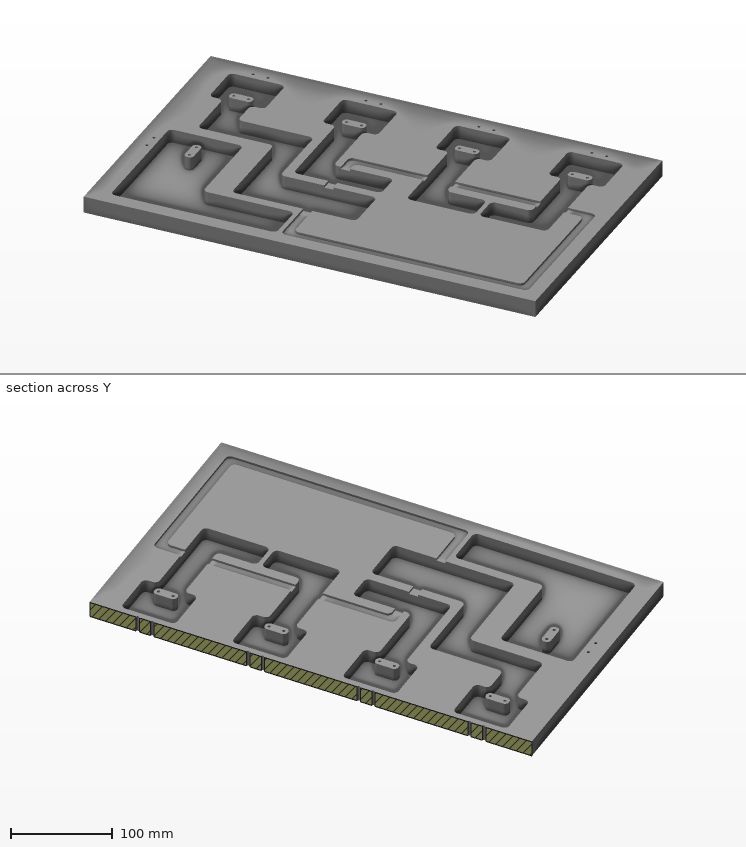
import cadquery as cq

LENGTH = 488.0
WIDTH = 300.0
THICKNESS = 18.0

POCKET_DEPTH = 14.5
CORNER_RADIUS = 5.5
EDGE_MARGIN = 22.0
PAD_WIDTH = 60.0
PAD_HEIGHT = 50.0
CHANNEL_WIDTH = 30.0
WALL = 10.0
NARROW_WALL = 5.0
PAD_COUNT = 4
pad_pitch = LENGTH / PAD_COUNT
pocket_floor = THICKNESS - POCKET_DEPTH
pad_x = [pad_pitch * (i + 0.5) for i in range(PAD_COUNT)]
pad_top = WIDTH - EDGE_MARGIN
pad_bottom = pad_top - PAD_HEIGHT

ARM_TOP = 157.5
LEFT_ARM_END = 263.0
arm_bottom = ARM_TOP - CHANNEL_WIDTH

JOG_TOP = 198.0
BOX_HEIGHT = 50.0
jog_bottom = JOG_TOP - CHANNEL_WIDTH
box_top = arm_bottom - WALL
box_bottom = box_top - BOX_HEIGHT

CORNER_POCKET_TOP = 154.5
CORNER_POCKET_STEP = 80.0
corner_step_top = box_bottom - WALL

GROOVE_DEPTH = 2.5
GROOVE_WIDTH = 10.0
GROOVE_LEFT = 206.0
GROOVE_TOP = 178.0
GROOVE_MARGIN = 15.0
groove_right = LENGTH - GROOVE_MARGIN
corner_pocket_right = GROOVE_LEFT - NARROW_WALL

HOLE_DIAMETER = 3.15
HOLE_PITCH = 16.0
HOLE_EDGE_DISTANCE = 15.0
BLOCK_EDGE_DISTANCE = 61.0
BLOCK_LENGTH = 25.5
BLOCK_WIDTH = 10.0
BLOCK_CORNER_RADIUS = 4.5
BLOCK_HOLE_DEPTH = 10.0
CORNER_BLOCK_Y = 125.0


def rounded_pocket(points):
    """Pocket cutter with every vertical corner rounded."""
    outline = cq.Workplane("XY").workplane(offset=pocket_floor).polyline(points).close()
    return outline.extrude(POCKET_DEPTH).edges("|Z").fillet(CORNER_RADIUS)


def arm_pocket(center_x, arm_end):
    """Pad with a straight channel that turns sideways into an arm reaching arm_end."""
    side = 1 if arm_end > center_x else -1
    pad_near = center_x + side * PAD_WIDTH / 2
    pad_far = center_x - side * PAD_WIDTH / 2
    channel_near = center_x + side * CHANNEL_WIDTH / 2
    channel_far = center_x - side * CHANNEL_WIDTH / 2
    return rounded_pocket([
        (pad_far, pad_top),
        (pad_near, pad_top),
        (pad_near, pad_bottom),
        (channel_near, pad_bottom),
        (channel_near, ARM_TOP),
        (arm_end, ARM_TOP),
        (arm_end, arm_bottom),
        (channel_far, arm_bottom),
        (channel_far, pad_bottom),
        (pad_far, pad_bottom),
    ])


def stepped_pocket():
    """First pad, whose channel steps around the second one into a wide box."""
    center_x = pad_x[0]
    drop_right = pad_x[1] - CHANNEL_WIDTH / 2 - WALL
    drop_left = drop_right - CHANNEL_WIDTH
    return rounded_pocket([
        (center_x - PAD_WIDTH / 2, pad_top),
        (center_x + PAD_WIDTH / 2, pad_top),
        (center_x + PAD_WIDTH / 2, pad_bottom),
        (center_x + CHANNEL_WIDTH / 2, pad_bottom),
        (center_x + CHANNEL_WIDTH / 2, JOG_TOP),
        (drop_right, JOG_TOP),
        (drop_right, box_top),
        (LEFT_ARM_END, box_top),
        (LEFT_ARM_END, box_bottom),
        (drop_left, box_bottom),
        (drop_left, jog_bottom),
        (center_x - CHANNEL_WIDTH / 2, jog_bottom),
        (center_x - CHANNEL_WIDTH / 2, pad_bottom),
        (center_x - PAD_WIDTH / 2, pad_bottom),
    ])


def corner_pocket():
    """L-shaped pocket in the lower left corner."""
    step_x = EDGE_MARGIN + CORNER_POCKET_STEP
    return rounded_pocket([
        (EDGE_MARGIN, GROOVE_MARGIN),
        (corner_pocket_right, GROOVE_MARGIN),
        (corner_pocket_right, corner_step_top),
        (step_x, corner_step_top),
        (step_x, CORNER_POCKET_TOP),
        (EDGE_MARGIN, CORNER_POCKET_TOP),
    ])


def rounded_slab(inset):
    """Rounded rectangle of groove depth, inset from the outer edge of the groove."""
    length = groove_right - GROOVE_LEFT - 2 * inset
    width = GROOVE_TOP - GROOVE_MARGIN - 2 * inset
    center = ((groove_right + GROOVE_LEFT) / 2, (GROOVE_TOP + GROOVE_MARGIN) / 2)
    slab = cq.Workplane("XY").workplane(offset=THICKNESS - GROOVE_DEPTH).center(*center)
    return slab.rect(length, width).extrude(GROOVE_DEPTH).edges("|Z").fillet(CORNER_RADIUS)


def hole_pair(x, y, angle, bottom, top):
    """Two drill cylinders centered on (x, y), spaced along the given angle."""
    pair = cq.Workplane("XY").pushPoints([(-HOLE_PITCH / 2, 0), (HOLE_PITCH / 2, 0)])
    drills = pair.circle(HOLE_DIAMETER / 2).extrude(top - bottom)
    return drills.rotate((0, 0, 0), (0, 0, 1), angle).translate((x, y, bottom))


def block(x, y, angle):
    """Rounded block rising from the pocket floor to the plate top, with two blind holes."""
    body = cq.Workplane("XY").rect(BLOCK_LENGTH, BLOCK_WIDTH).extrude(POCKET_DEPTH)
    body = body.edges("|Z").fillet(BLOCK_CORNER_RADIUS)
    body = body.rotate((0, 0, 0), (0, 0, 1), angle).translate((x, y, pocket_floor))
    return body.cut(hole_pair(x, y, angle, THICKNESS - BLOCK_HOLE_DEPTH, THICKNESS))


result = cq.Workplane("XY").box(LENGTH, WIDTH, THICKNESS, centered=False)
result = result.cut(rounded_slab(0).cut(rounded_slab(GROOVE_WIDTH)))

arm_meeting_x = (pad_x[2] + pad_x[3]) / 2
pockets = [
    stepped_pocket(),
    arm_pocket(pad_x[1], LEFT_ARM_END),
    arm_pocket(pad_x[2], arm_meeting_x - NARROW_WALL / 2),
    arm_pocket(pad_x[3], arm_meeting_x + NARROW_WALL / 2),
    corner_pocket(),
]
for pocket in pockets:
    result = result.cut(pocket)

for x in pad_x:
    result = result.union(block(x, WIDTH - BLOCK_EDGE_DISTANCE, 0))
    result = result.cut(hole_pair(x, WIDTH - HOLE_EDGE_DISTANCE, 0, 0, THICKNESS))

result = result.union(block(BLOCK_EDGE_DISTANCE, CORNER_BLOCK_Y, 90))
result = result.cut(hole_pair(HOLE_EDGE_DISTANCE, CORNER_BLOCK_Y, 90, 0, THICKNESS))